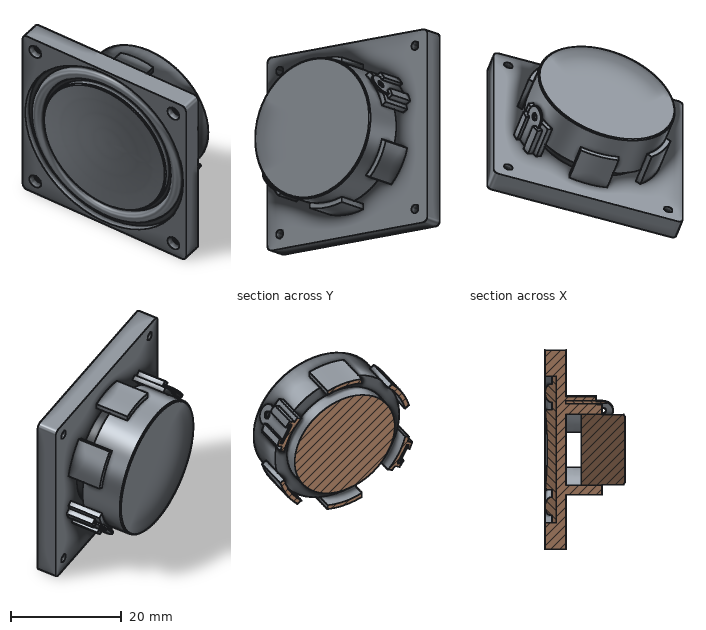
import cadquery as cq
import math


plate_side = 36.1
plate_depth = 3.83
plate_corner_radius = 1.0
screw_spacing = 30.5
screw_hole_radius = 0.8
counterbore_radius = 1.3
counterbore_depth = 1.45

flange_radius = 17.45
flange_y = 1.25
pocket_depth = 2.0
roll_centre_radius = 15.35
roll_half_width = 1.12
roll_front_y = 0
rim_radius = 13.5
rim_chamfer = 0.2
rim_front_y = 0.05
dish_bottom_y = 1.45

magnet_radius = 13.05
magnet_front_y = 6.55
magnet_back_y = 14.5
magnet_chamfer = 0.2
neck_radius = 10.55
rib_count = 6
first_rib_angle = 90
rib_width = 7.22
rib_radius = 14.0
rib_end_y = 10.35

lug_angles = (150, 330)
lug_radius = 2.0
lug_hole_radius = 0.7
lug_face_radius = 14.35
lug_thickness = 0.35
rail_radius = 15.1
rail_end_y = 9.28
rail_gap = 2.5
rails_width = 5.38


def plane_at(y):
    """Workplane across the speaker axis; negative extrusions run towards the back."""
    return cq.Workplane("XZ", origin=(0, y, 0))


def turn_about_axis(shape, angle):
    """Swing a shape built on the +X side about the speaker axis, from +X towards +Z."""
    return shape.rotate((0, 0, 0), (0, -1, 0), angle)


def make_lug():
    """Flat tongue with a round end and a hole, standing on the plate back on the +X side."""
    inner_face = lug_face_radius - lug_thickness
    side_plane = cq.Workplane("YZ", origin=(inner_face, 0, 0))
    tongue = (
        side_plane.moveTo(plate_depth, -lug_radius)
        .lineTo(rib_end_y, -lug_radius)
        .threePointArc((rib_end_y + lug_radius, 0), (rib_end_y, lug_radius))
        .lineTo(plate_depth, lug_radius)
        .close()
        .extrude(lug_thickness)
    )
    hole = side_plane.center(rib_end_y, 0).circle(lug_hole_radius).extrude(lug_thickness)
    return tongue.cut(hole)


def make_rib():
    """Curved post on the +X side, between the magnet and the rib radius."""
    length = rib_end_y - plate_depth
    ring = plane_at(plate_depth).circle(rib_radius).circle(magnet_radius).extrude(-length)
    block = plane_at(plate_depth).center(rib_radius / 2, 0).rect(rib_radius, rib_width).extrude(-length)
    return ring.intersect(block)


def make_rails():
    """Two rails along the +X rib, with a gap between them that shows the lug."""
    length = rail_end_y - plate_depth
    ring = plane_at(plate_depth).circle(rail_radius).circle(magnet_radius).extrude(-length)
    rail_width = (rails_width - rail_gap) / 2
    rail_offset = (rails_width + rail_gap) / 4
    strips = (
        plane_at(plate_depth)
        .pushPoints([(rail_radius / 2, -rail_offset), (rail_radius / 2, rail_offset)])
        .rect(rail_radius, rail_width)
        .extrude(-length)
    )
    return ring.intersect(strips)


def make_plate():
    """Square plate with counterbored screw holes and the round diaphragm pocket."""
    plate = plane_at(0).rect(plate_side, plate_side).extrude(-plate_depth)
    plate = plate.edges("|Y").fillet(plate_corner_radius)
    pocket = plane_at(0).circle(flange_radius).extrude(-pocket_depth)
    screws = plane_at(0).rect(screw_spacing, screw_spacing, forConstruction=True).vertices()
    holes = screws.circle(screw_hole_radius).extrude(-plate_depth)
    counterbores = screws.circle(counterbore_radius).extrude(-counterbore_depth)
    return plate.cut(pocket).cut(holes).cut(counterbores)


def make_frame(lugs):
    """Plate, neck, ribs and rails, with slots where the lugs sit."""
    neck = plane_at(plate_depth).circle(neck_radius).extrude(-(magnet_front_y - plate_depth))
    frame = make_plate().union(neck)
    for index in range(rib_count):
        rib_angle = first_rib_angle + index * 360 / rib_count
        frame = frame.union(turn_about_axis(make_rib(), rib_angle))
    for angle in lug_angles:
        frame = frame.union(turn_about_axis(make_rails(), angle))
    for lug in lugs:
        frame = frame.cut(lug)
    return frame


def make_diaphragm():
    """Disc with a raised round roll and a shallow spherical dish, turned about Y."""
    dish_edge_radius = rim_radius - rim_chamfer
    dish_depth = dish_bottom_y - rim_front_y
    dish_radius = (dish_edge_radius**2 + dish_depth**2) / (2 * dish_depth)
    half_angle = math.asin(dish_edge_radius / dish_radius) / 2
    dish_mid = (
        dish_radius * math.sin(half_angle),
        dish_bottom_y - dish_radius * (1 - math.cos(half_angle)),
    )
    return (
        cq.Workplane("XY")
        .moveTo(0, pocket_depth)
        .lineTo(flange_radius, pocket_depth)
        .lineTo(flange_radius, flange_y)
        .lineTo(roll_centre_radius + roll_half_width, flange_y)
        .threePointArc(
            (roll_centre_radius, roll_front_y),
            (roll_centre_radius - roll_half_width, flange_y),
        )
        .lineTo(rim_radius, flange_y)
        .lineTo(rim_radius, rim_front_y + rim_chamfer)
        .lineTo(dish_edge_radius, rim_front_y)
        .threePointArc(dish_mid, (0, dish_bottom_y))
        .close()
        .revolve(360, (0, 0, 0), (0, 1, 0))
    )


def make_magnet():
    """Round pot with a small chamfer on its back edge."""
    magnet = plane_at(magnet_front_y).circle(magnet_radius).extrude(-(magnet_back_y - magnet_front_y))
    return magnet.faces(">Y").edges().chamfer(magnet_chamfer)


lugs = [turn_about_axis(make_lug(), angle) for angle in lug_angles]
frame = make_frame(lugs)
diaphragm = make_diaphragm()
magnet = make_magnet()

result = cq.Compound.makeCompound(
    [frame.val(), diaphragm.val(), magnet.val(), *[lug.val() for lug in lugs]]
)